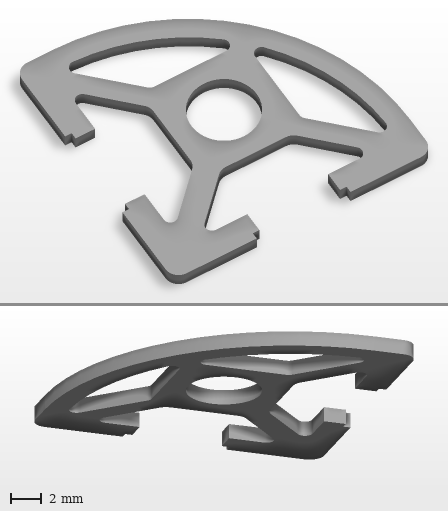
import cadquery as cq
import math

side = 20.0
thickness = 1.0
half = side / 2
corner_radius = 1.0
bore_diameter = 5.0

outer_radius = 17.0
rim_wall = 1.5
hub_half = 4.0

pocket_flank_offset = 0.85
slot_flank_offset = 1.28

lip_thickness = 2.0
opening_half = 3.1
step = 0.5

tip_radius = 0.5
hub_fillet = 1.0

inner_radius = outer_radius - rim_wall
arc_offset = outer_radius - half


def point_on_arc(radius, angle):
    a = math.radians(angle)
    return (arc_offset + radius * math.cos(a), -arc_offset + radius * math.sin(a))


def make_blank():
    blank = (
        cq.Workplane("XY")
        .moveTo(-half, -half)
        .lineTo(half, -half)
        .lineTo(half, half)
        .lineTo(arc_offset, half)
        .threePointArc(point_on_arc(outer_radius, 135), (-half, -arc_offset))
        .close()
        .extrude(thickness)
    )
    square_corners = [(-half, -half), (half, -half), (half, half)]
    for x, y in square_corners:
        corner = cq.selectors.NearestToPointSelector((x, y, thickness / 2))
        blank = blank.edges(corner).fillet(corner_radius)
    return blank


def make_slot():
    """T-slot opening through the right side."""
    cavity_x = half - lip_thickness
    hub_y = hub_half - slot_flank_offset
    cavity_y = cavity_x - slot_flank_offset
    cavity = (
        cq.Workplane("XY")
        .polyline([(hub_half, -hub_y), (cavity_x, -cavity_y), (cavity_x, cavity_y), (hub_half, hub_y)])
        .close()
        .extrude(thickness)
        .edges("|Z and >X")
        .fillet(tip_radius)
        .edges("|Z and <X")
        .fillet(hub_fillet)
    )
    mouth = cq.Workplane("XY").box(
        lip_thickness, 2 * opening_half, thickness, centered=(False, True, False)
    )
    mouth = mouth.translate((cavity_x, 0, 0))
    relief = cq.Workplane("XY").box(step, 2 * (opening_half + step), thickness, centered=(False, True, False))
    relief = relief.translate((half - step, 0, 0))
    return cavity.union(mouth).union(relief)


def make_pocket():
    """Closed window between the hub top, the upper-right arm and the rim."""
    hub_rise = hub_half + arc_offset
    left_x = arc_offset - math.sqrt(inner_radius**2 - hub_rise**2)
    left_angle = 180 - math.degrees(math.asin(hub_rise / inner_radius))
    flank_distance = (2 * arc_offset + pocket_flank_offset) / math.sqrt(2)
    arm_angle = 135 - math.degrees(math.acos(flank_distance / inner_radius))
    return (
        cq.Workplane("XY")
        .moveTo(left_x, hub_half)
        .lineTo(hub_half - pocket_flank_offset, hub_half)
        .lineTo(*point_on_arc(inner_radius, arm_angle))
        .threePointArc(point_on_arc(inner_radius, (left_angle + arm_angle) / 2), (left_x, hub_half))
        .close()
        .extrude(thickness)
        .edges("|Z")
        .fillet(tip_radius)
    )


def mirror_across_diagonal(body):
    """Reflect in the plane y = -x, the symmetry plane of the part."""
    return body.mirror("XZ").rotate((0, 0, 0), (0, 0, 1), -90)


result = make_blank()
for cutter in (make_slot(), make_pocket()):
    result = result.cut(cutter).cut(mirror_across_diagonal(cutter))

bore = cq.Workplane("XY").circle(bore_diameter / 2).extrude(thickness)
result = result.cut(bore)